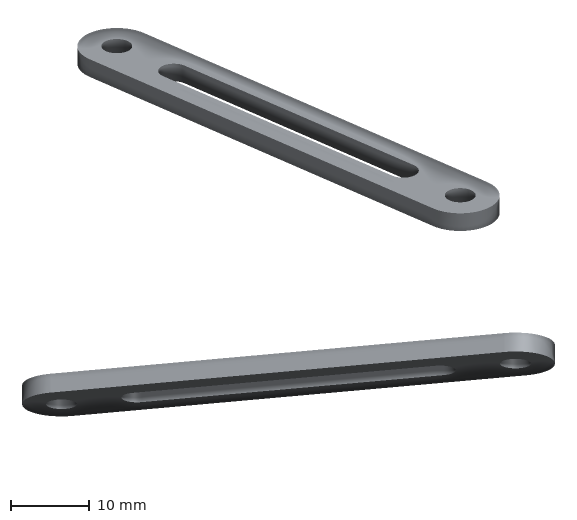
import cadquery as cq

length = 70.0
width = 10.0
thickness = 2.5

hole_diameter = 3.9
slot_length = 44.0
slot_width = 4.0

hole_spacing = length - width

plate = cq.Workplane("XY").slot2D(length, width).extrude(thickness)

plate = (
    plate.faces(">Z").workplane()
    .pushPoints([(-hole_spacing / 2, 0), (hole_spacing / 2, 0)])
    .hole(hole_diameter)
)

result = plate.faces(">Z").workplane().slot2D(slot_length, slot_width).cutThruAll()